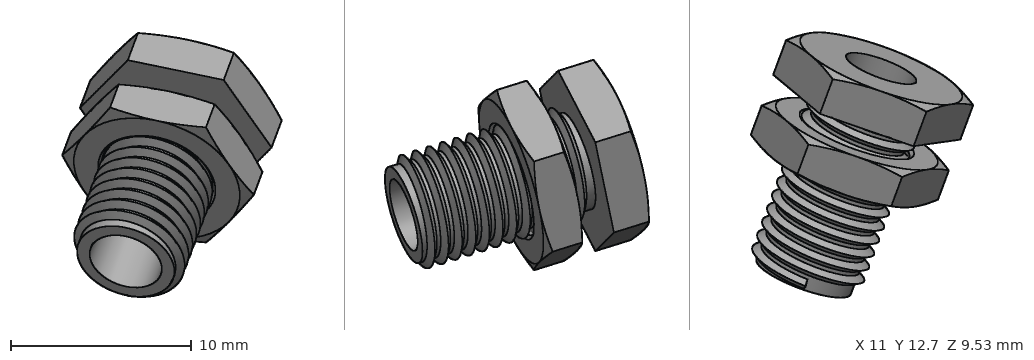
import cadquery as cq
import math


across_flats = 9.53
across_corners = across_flats / math.cos(math.radians(30))
hex_chamfer_depth = 0.25

total_length = 12.67
head_thickness = 2.36
shank_length = total_length - head_thickness
shank_diameter = 5.59
bore_diameter = 4.14

thread_pitch = 0.81
thread_turns = 12
thread_start = 0.23
thread_crest_radius = 3.23
thread_base_width = 0.58
thread_embedment = 0.05

nut_offset = 1.62
nut_thickness = 2.28
nut_bore_diameter = 6.35
nut_countersink_diameter = 6.74
nut_countersink_depth = (nut_countersink_diameter - nut_bore_diameter) / 2


def hex_prism(bottom, thickness, chamfer_top):
    """Hexagonal prism with its corners turned to a cone at the bottom and, if asked, at the top."""
    top = bottom + thickness
    flat_radius = across_flats / 2
    corner_radius = across_corners / 2
    prism = cq.Workplane("XY").workplane(offset=bottom).polygon(6, across_corners).extrude(thickness)

    section = [(0, bottom), (flat_radius, bottom), (corner_radius, bottom + hex_chamfer_depth)]
    if chamfer_top:
        section += [(corner_radius, top - hex_chamfer_depth), (flat_radius, top)]
    else:
        section += [(corner_radius, top)]
    section.append((0, top))
    blank = cq.Workplane("XZ").polyline(section).close().revolve(360, (0, 0), (0, 1))
    return prism.intersect(blank)


def thread_ridge():
    """Left-handed V ridge, with its flanks carried a little way into the shank."""
    root_radius = shank_diameter / 2
    inner_radius = root_radius - thread_embedment
    flank_slope = (thread_base_width / 2) / (thread_crest_radius - root_radius)
    inner_half_width = flank_slope * (thread_crest_radius - inner_radius)

    helix = cq.Wire.makeHelix(thread_pitch, thread_pitch * thread_turns, root_radius, lefthand=True)
    ridge = (
        cq.Workplane("XZ")
        .polyline([
            (inner_radius, -inner_half_width),
            (thread_crest_radius, 0),
            (inner_radius, inner_half_width),
        ])
        .close()
        .sweep(cq.Workplane(helix), isFrenet=True)
    )
    return ridge.rotate((0, 0, 0), (0, 0, 1), -90).translate((0, 0, thread_start))


def make_bolt():
    """Hex head, threaded shank and a bore right through."""
    head = hex_prism(-head_thickness, head_thickness, chamfer_top=False)
    shank = cq.Workplane("XY").circle(shank_diameter / 2).extrude(shank_length)
    bore = (
        cq.Workplane("XY")
        .workplane(offset=-head_thickness)
        .circle(bore_diameter / 2)
        .extrude(total_length)
    )
    return shank.union(thread_ridge()).union(head).cut(bore)


def make_nut(bolt):
    """Hex nut chamfered and countersunk on both faces, grooved to clear the bolt's thread."""
    nut = hex_prism(nut_offset, nut_thickness, chamfer_top=True)
    nut = nut.faces(">Z").workplane(origin=(0, 0, 0)).hole(nut_bore_diameter)
    nut = nut.faces("<Z or >Z").edges("%CIRCLE").edges(
        cq.selectors.RadiusNthSelector(0)
    ).chamfer(nut_countersink_depth)
    return nut.cut(bolt)


def lay_down(body):
    """Turn a body so that its +Z axis points to -Y."""
    return body.rotate((0, 0, 0), (1, 0, 0), 90)


upright_bolt = make_bolt()
bolt = lay_down(upright_bolt)
nut = lay_down(make_nut(upright_bolt))

result = cq.Compound.makeCompound([bolt.solids().val(), nut.solids().val()])